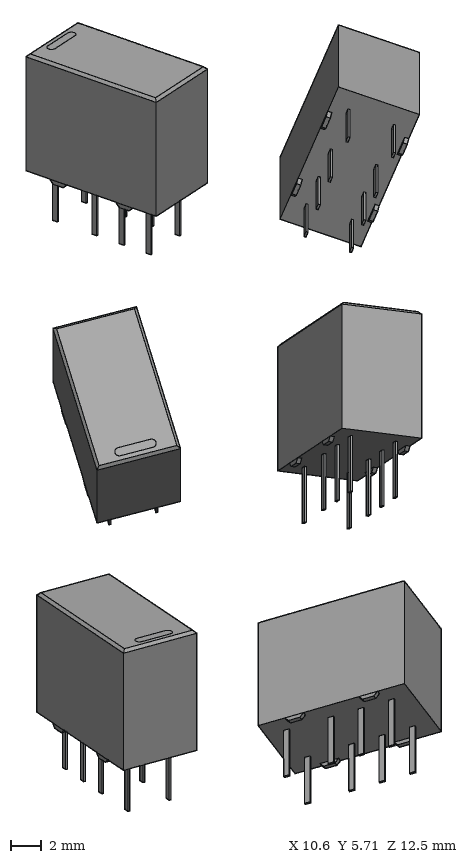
import cadquery as cq

length = 10.6
width = 5.7
height = 8.7
top_chamfer = 0.2

pin_width = 0.4
pin_thickness = 0.15
pin_length = 3.8
row_spacing = 3.2
pin_positions = [-3.8, -0.6, 1.6, 3.8]

foot_spacing = 5.36
foot_span = 5.71
foot_top_width = 1.36
foot_bottom_width = 0.82
foot_height = 0.3
foot_thickness = 0.3

mark_length = 2.8
mark_width = 0.6
mark_depth = 0.1
mark_inset = 0.5
mark_x = -length / 2 + mark_inset + mark_width / 2


def make_shell():
    """Plain box with its top edges chamfered."""
    box = cq.Workplane("XY").box(length, width, height, centered=(True, True, False))
    return box.faces(">Z").edges().chamfer(top_chamfer)


def make_pins():
    """Both rows of pins, hanging from the underside."""
    places = [(x, side * row_spacing / 2) for side in (-1, 1) for x in pin_positions]
    return cq.Workplane("XY").pushPoints(places).rect(pin_width, pin_thickness).extrude(-pin_length)


def make_foot(center_x, side):
    """One trapezoidal foot along the long edge on the given side (-1 or 1) of Y."""
    outline = [
        (center_x - foot_top_width / 2, 0),
        (center_x + foot_top_width / 2, 0),
        (center_x + foot_bottom_width / 2, -foot_height),
        (center_x - foot_bottom_width / 2, -foot_height),
    ]
    face = cq.Workplane("XZ", origin=(0, side * foot_span / 2, 0)).polyline(outline).close()
    return face.extrude(side * foot_thickness)


def make_mark():
    """Rounded strip whose upper face is level with the top of the housing."""
    strip = cq.Workplane("XY", origin=(mark_x, 0, height)).slot2D(mark_length, mark_width, 90)
    return strip.extrude(-mark_depth)


mark = make_mark()

housing = make_shell().union(make_pins())
for foot_side in (-1, 1):
    for foot_x in (-foot_spacing / 2, foot_spacing / 2):
        housing = housing.union(make_foot(foot_x, foot_side))
housing = housing.cut(mark)

result = cq.Compound.makeCompound([housing.solids().val(), mark.val()])